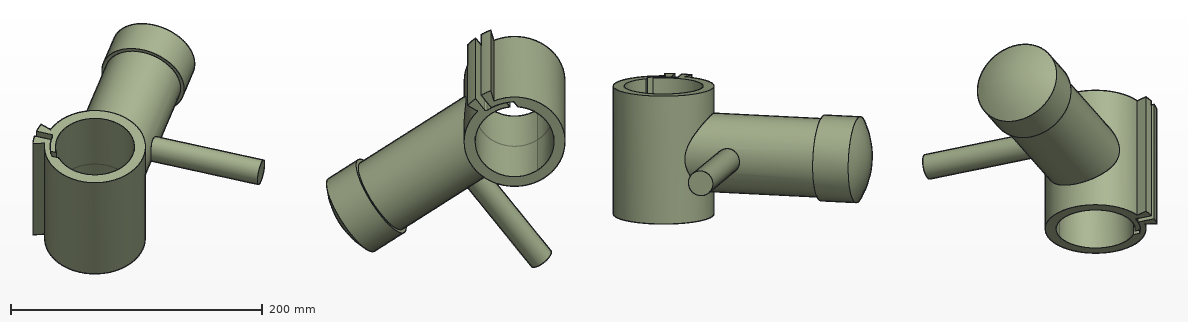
import cadquery as cq
import math

ring_height = 104.0
ring_radius = 40.2
bore_radius = 31.4
ear_tip_radius = 49.5
ear_tip_half_width = 11.3
ear_root_half_width = 8.0

slot_half_width = 2.7
slot_corner_radius = 1.5
groove_radius = 35.8
tongue_clearance = 0.2
tongue_end_y = -15.3
groove_end_y = -20.3

tube_radius = 31.4
cap_radius = 34.3
cap_start_y = 130.5
cap_rim_y = 159.7
dome_top_y = 169.0

rod_radius = 10.0
rod_center_y = 59.8
rod_end_x = 120.0


def left_point(radius, y):
    """Point at height y on the -X side of a circle about the ring axis."""
    return (-math.sqrt(radius**2 - y**2), y)


def cylinder_z(radius):
    return cq.Workplane("XY").circle(radius).extrude(ring_height / 2, both=True)


def make_ears():
    """Flared clamping ears as one block; the slot later parts them."""
    root_x = left_point(ring_radius, ear_root_half_width)[0]
    outline = (
        cq.Workplane("XY")
        .moveTo(0, ear_root_half_width)
        .lineTo(root_x, ear_root_half_width)
        .lineTo(*left_point(ear_tip_radius, ear_tip_half_width))
        .threePointArc((-ear_tip_radius, 0), left_point(ear_tip_radius, -ear_tip_half_width))
        .lineTo(root_x, -ear_root_half_width)
        .lineTo(0, -ear_root_half_width)
        .close()
    )
    return outline.extrude(ring_height / 2, both=True)


def make_split():
    """Ear slot, clearance along the tongue, and the open gap past its end."""
    tongue_radius = groove_radius - tongue_clearance
    middle_y = (tongue_end_y - slot_half_width) / 2
    gap_middle_y = (groove_end_y - slot_half_width) / 2
    slot_corner = left_point(groove_radius, slot_half_width)
    outline = (
        cq.Workplane("XY")
        .moveTo(-ear_tip_radius - 2, slot_half_width)
        .lineTo(slot_corner[0] - slot_corner_radius, slot_half_width)
        .radiusArc((slot_corner[0], slot_half_width - slot_corner_radius), slot_corner_radius)
        .lineTo(*left_point(tongue_radius, -slot_half_width))
        .threePointArc(left_point(tongue_radius, middle_y), left_point(tongue_radius, tongue_end_y))
        .lineTo(left_point(bore_radius, tongue_end_y)[0] + 2, tongue_end_y)
        .lineTo(left_point(bore_radius, groove_end_y)[0] + 2, groove_end_y)
        .lineTo(*left_point(groove_radius, groove_end_y))
        .threePointArc(left_point(groove_radius, gap_middle_y), left_point(groove_radius, -slot_half_width))
        .lineTo(-ear_tip_radius - 2, -slot_half_width)
        .close()
    )
    return outline.extrude(ring_height / 2, both=True)


def make_tube_and_cap():
    """Half profile revolved about the Y axis."""
    dome_height = dome_top_y - cap_rim_y
    dome_radius = (cap_radius**2 + dome_height**2) / (2 * dome_height)
    half_x = cap_radius / 2
    half_y = dome_top_y - dome_radius + math.sqrt(dome_radius**2 - half_x**2)
    profile = (
        cq.Workplane("XY")
        .lineTo(tube_radius, 0)
        .lineTo(tube_radius, cap_start_y)
        .lineTo(cap_radius, cap_start_y)
        .lineTo(cap_radius, cap_rim_y)
        .threePointArc((half_x, half_y), (0, dome_top_y))
        .close()
    )
    return profile.revolve(360, (0, 0, 0), (0, 1, 0))


def make_rod():
    return cq.Workplane("YZ").center(rod_center_y, 0).circle(rod_radius).extrude(rod_end_x)


body = cylinder_z(ring_radius).union(make_ears())
body = body.union(make_tube_and_cap()).union(make_rod())
result = body.cut(cylinder_z(bore_radius)).cut(make_split())